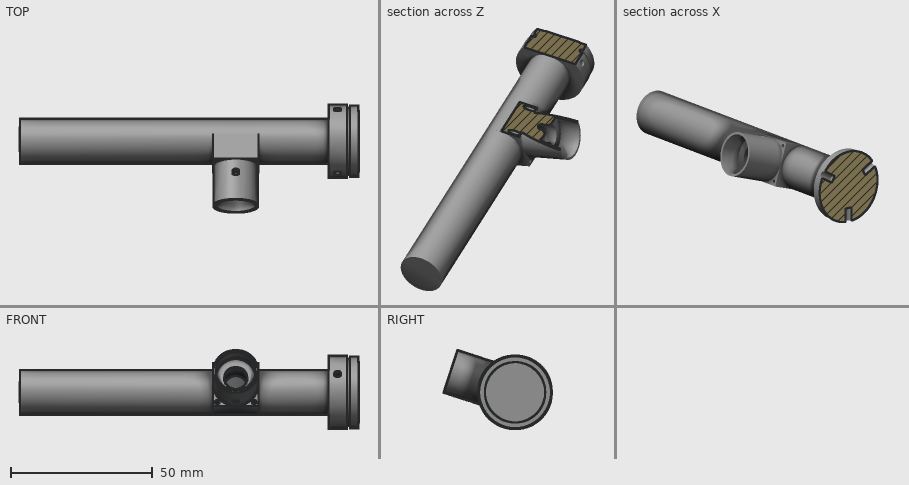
import cadquery as cq
import math

TOTAL_LENGTH = 119.8
TUBE_DIAMETER = 15.9
TUBE_RADIUS = TUBE_DIAMETER / 2
END_LENS_RADIUS = 7.1
END_LENS_RISE = 0.14

FLANGE_START = 109.1
FLANGE_LENGTH = 6.5
FLANGE_DIAMETER = 26.0
FLANGE_RADIUS = FLANGE_DIAMETER / 2
GROOVE_LENGTH = 1.0
GROOVE_RADIUS = 12.0
LIP_LENGTH = 0.2
LIP_RADIUS = 10.7
RING_RADIUS = 12.7

FLANGE_SCREW_COUNT = 3
FLANGE_SCREW_OFFSET = 3.1
FLANGE_SCREW_RADIUS = 1.2
FLANGE_SCREW_DEPTH = FLANGE_RADIUS - TUBE_RADIUS

BRANCH_X = 76.3
BRANCH_TILT = 18.0
BLOCK_WIDTH = TUBE_DIAMETER
BLOCK_REACH = 9.0
COLLAR_RADIUS = 7.9
COLLAR_REACH = 24.0
SOCKET_RADIUS = 7.1
SOCKET_DEPTH = 7.7
BORE_RADIUS = 4.1
BORE_DEPTH = 10.3
BORE_LENS_RISE = 0.2
COLLAR_SCREW_REACH = 13.9
COLLAR_SCREW_RADIUS = 1.2

BLOCK_SCREW_INSET = 1.4
BLOCK_SCREW_RADIUS = 0.7
BLOCK_SCREW_DEPTH = 4.8


def disc(start, end, radius):
    """Solid cylinder about the tube axis between two X stations."""
    return cq.Workplane("YZ", origin=(start, 0, 0)).circle(radius).extrude(end - start)


def lens_dome(base, rim_radius, rise):
    """Shallow spherical cap on the base plane, sunk into it by its own rise."""
    sphere_radius = (rim_radius**2 + rise**2) / (2 * rise)
    sphere = cq.Workplane("XY").sphere(sphere_radius).translate((0, 0, rise - sphere_radius))
    rod = cq.Workplane("XY", origin=(0, 0, -rise)).circle(rim_radius).extrude(2 * rise)
    cap = rod.intersect(sphere)
    return cq.Workplane("XY").newObject([cap.val().moved(cq.Location(base))])


def make_tube():
    """Plain tube with a lens dome, apex at X = 0, on its free end."""
    end_plane = cq.Plane(origin=(END_LENS_RISE, 0, 0), xDir=(0, 1, 0), normal=(-1, 0, 0))
    dome = lens_dome(end_plane, END_LENS_RADIUS, END_LENS_RISE)
    return disc(END_LENS_RISE, FLANGE_START, TUBE_RADIUS).union(dome)


def make_flange():
    """Stepped end flange with evenly spaced radial set screw holes."""
    groove_start = FLANGE_START + FLANGE_LENGTH
    ring_start = groove_start + GROOVE_LENGTH
    lip_start = TOTAL_LENGTH - LIP_LENGTH
    flange = (
        disc(FLANGE_START, groove_start, FLANGE_RADIUS)
        .union(disc(groove_start, ring_start, GROOVE_RADIUS))
        .union(disc(ring_start, lip_start, RING_RADIUS))
        .union(disc(lip_start, TOTAL_LENGTH, LIP_RADIUS))
    )
    screw_x = FLANGE_START + FLANGE_SCREW_OFFSET
    hole = (
        cq.Workplane("XY", origin=(screw_x, 0, -FLANGE_RADIUS))
        .circle(FLANGE_SCREW_RADIUS)
        .extrude(FLANGE_SCREW_DEPTH)
    )
    for index in range(FLANGE_SCREW_COUNT):
        angle = index * 360 / FLANGE_SCREW_COUNT
        flange = flange.cut(hole.rotate((0, 0, 0), (1, 0, 0), angle))
    return flange


def branch_workplane(reach):
    """Workplane across the branch axis: local x along the tube, normal outward."""
    tilt = math.radians(BRANCH_TILT)
    outward = cq.Vector(0, -math.cos(tilt), math.sin(tilt))
    origin = cq.Vector(BRANCH_X, 0, 0) + outward * reach
    return cq.Workplane(cq.Plane(origin=origin, xDir=(1, 0, 0), normal=outward))


def add_branch(body):
    """Join the block and collar to the body, then cut the branch's holes."""
    block = branch_workplane(0).rect(BLOCK_WIDTH, BLOCK_WIDTH).extrude(BLOCK_REACH)
    collar = branch_workplane(BLOCK_REACH).circle(COLLAR_RADIUS).extrude(COLLAR_REACH - BLOCK_REACH)
    body = body.union(block).union(collar)

    socket_floor = COLLAR_REACH - SOCKET_DEPTH
    bore_floor = socket_floor - BORE_DEPTH
    socket = branch_workplane(COLLAR_REACH).circle(SOCKET_RADIUS).extrude(-SOCKET_DEPTH)
    bore = branch_workplane(socket_floor).circle(BORE_RADIUS).extrude(-BORE_DEPTH)

    cross_section = branch_workplane(COLLAR_SCREW_REACH).plane
    screw_plane = cq.Plane(origin=cross_section.origin, xDir=(1, 0, 0), normal=cross_section.yDir)
    collar_screw = cq.Workplane(screw_plane).circle(COLLAR_SCREW_RADIUS).extrude(COLLAR_RADIUS, both=True)

    screw_spacing = BLOCK_WIDTH - 2 * BLOCK_SCREW_INSET
    block_screws = (
        branch_workplane(BLOCK_REACH)
        .rect(screw_spacing, screw_spacing, forConstruction=True)
        .vertices()
        .circle(BLOCK_SCREW_RADIUS)
        .extrude(-BLOCK_SCREW_DEPTH)
    )

    body = body.cut(socket).cut(bore).cut(collar_screw).cut(block_screws)
    lens = lens_dome(branch_workplane(bore_floor).plane, BORE_RADIUS, BORE_LENS_RISE)
    return body.union(lens)


result = add_branch(make_tube().union(make_flange()))